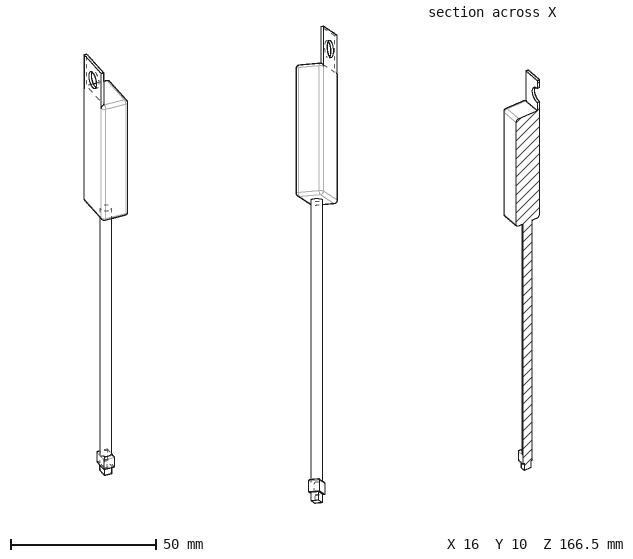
import cadquery as cq

total_height = 166.5
case_width = 16.0
case_depth = 10.0

case_bottom = 106.9
tab_rise = 13.0
case_top = total_height - tab_rise
edge_radius = 1.2
tab_width = case_width - 2 * edge_radius
tab_thickness = 1.0
hole_diameter = 6.0
hole_drop = 6.5

cable_diameter = 4.0
plug_width = 4.0
plug_depth = 2.8
plug_height = 3.0
connector_width = 5.7
connector_depth = 4.0
connector_height = 4.5
connector_top = plug_height + connector_height
connector_fillet = 0.7


def block(width, depth, bottom, top):
    """Box centred on the Z axis between two heights."""
    return (
        cq.Workplane("XY")
        .workplane(offset=bottom)
        .rect(width, depth)
        .extrude(top - bottom)
    )


def make_case():
    return block(case_width, case_depth, case_bottom, case_top).edges().fillet(edge_radius)


def make_tab():
    tab_centre_y = (tab_thickness - case_depth) / 2
    tab_foot = case_bottom + edge_radius
    tab = block(tab_width, tab_thickness, tab_foot, total_height).translate((0, tab_centre_y, 0))
    hole = (
        cq.Workplane("XZ")
        .center(0, total_height - hole_drop)
        .circle(hole_diameter / 2)
        .extrude(case_depth)
    )
    return tab.cut(hole)


def make_cable():
    cable_end = case_bottom + edge_radius
    return (
        cq.Workplane("XY")
        .workplane(offset=plug_height)
        .circle(cable_diameter / 2)
        .extrude(cable_end - plug_height)
    )


def make_connector():
    housing = block(connector_width, connector_depth, plug_height, connector_top)
    housing = housing.faces(">Z").edges().fillet(connector_fillet)
    plug = block(plug_width, plug_depth, 0, plug_height)
    return housing.union(plug)


result = make_case().union(make_tab()).union(make_cable()).union(make_connector())